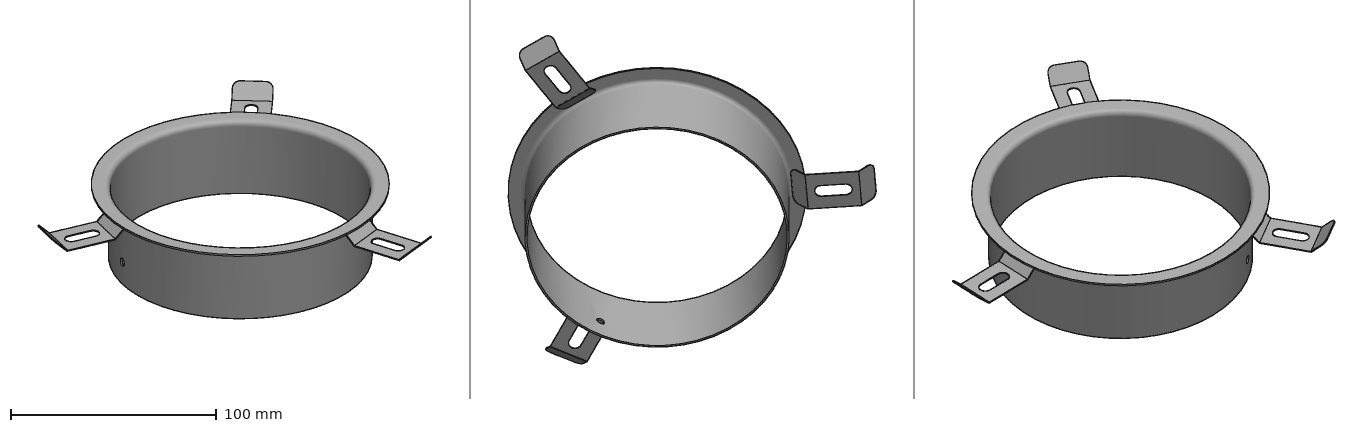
import cadquery as cq
import math

collar_height = 40.0
collar_sheet = 1.0
tube_outer_radius = 64.2
tube_inner_radius = tube_outer_radius - collar_sheet
flange_radius = 72.5
outer_bend_radius = 2.1
inner_bend_radius = outer_bend_radius + collar_sheet
flange_underside = collar_height - collar_sheet

wall_hole_diameter = 4.0
wall_hole_depth = 28.0

bracket_count = 3
bracket_spacing = 360 / bracket_count
bracket_width = 20.0
bracket_sheet = 0.5
bracket_tip_radius = 106.4
bracket_length = 40.8
bracket_rise = 7.7
flap_corner_radius = 3.8
slot_length = 18.2
slot_width = 6.3
bracket_center_radius = bracket_tip_radius - bracket_length / 2


def make_collar():
    bend_center_radius = tube_outer_radius + outer_bend_radius
    bend_center_height = flange_underside - outer_bend_radius
    diagonal = math.sqrt(0.5)
    inner_mid = (
        bend_center_radius - inner_bend_radius * diagonal,
        bend_center_height + inner_bend_radius * diagonal,
    )
    outer_mid = (
        bend_center_radius - outer_bend_radius * diagonal,
        bend_center_height + outer_bend_radius * diagonal,
    )
    collar = (
        cq.Workplane("XZ")
        .moveTo(tube_inner_radius, 0)
        .lineTo(tube_inner_radius, bend_center_height)
        .threePointArc(inner_mid, (bend_center_radius, collar_height))
        .lineTo(flange_radius, collar_height)
        .lineTo(flange_radius, flange_underside)
        .lineTo(bend_center_radius, flange_underside)
        .threePointArc(outer_mid, (tube_outer_radius, bend_center_height))
        .lineTo(tube_outer_radius, 0)
        .close()
        .revolve(360, (0, 0, 0), (0, 1, 0))
    )
    wall_hole = (
        cq.Workplane("XZ")
        .center(0, collar_height - wall_hole_depth)
        .circle(wall_hole_diameter / 2)
        .extrude(flange_radius)
    )
    return collar.cut(wall_hole)


def make_bracket():
    """Bracket along X, centred on the Z axis, with its flap tips at Z = 0."""
    half_length = bracket_length / 2
    end_step = bracket_sheet * math.sqrt(0.5)
    half_bottom = half_length + end_step - bracket_rise
    half_floor = half_bottom - bracket_sheet * math.tan(math.radians(45 / 2))
    outline = [
        (-half_bottom, -bracket_rise),
        (half_bottom, -bracket_rise),
        (half_length, -end_step),
        (half_length - end_step, 0),
        (half_floor, bracket_sheet - bracket_rise),
        (-half_floor, bracket_sheet - bracket_rise),
        (end_step - half_length, 0),
        (-half_length, -end_step),
    ]
    strip = cq.Workplane("XZ").polyline(outline).close().extrude(bracket_width / 2, both=True)
    for flap_direction, outermost in ((-1, "<X"), (1, ">X")):
        tip_edges = cq.selectors.ParallelDirSelector(cq.Vector(flap_direction, 0, -1))
        strip = strip.edges(tip_edges).edges(outermost).fillet(flap_corner_radius)
    slot = cq.Workplane("XY").slot2D(slot_length, slot_width).extrude(-2 * bracket_rise)
    return strip.cut(slot)


def place_bracket(index):
    angle = -90 + index * bracket_spacing
    return (
        make_bracket()
        .translate((bracket_center_radius, 0, flange_underside))
        .rotate((0, 0, 0), (0, 0, 1), angle)
    )


collar = make_collar()
brackets = [place_bracket(index).val() for index in range(bracket_count)]

result = cq.Compound.makeCompound([collar.val(), *brackets])